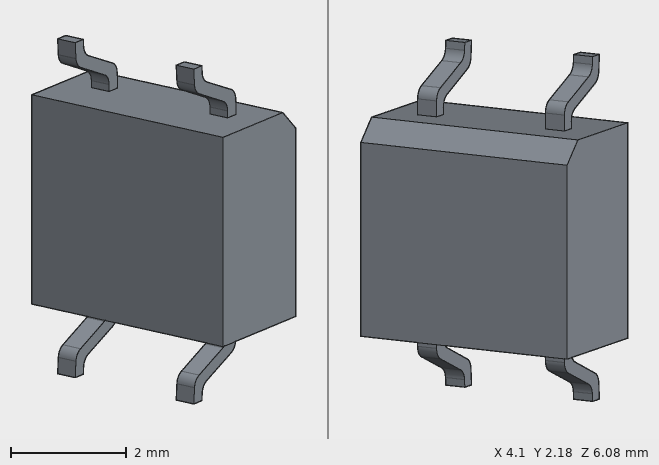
import cadquery as cq
import math

BODY_WIDTH = 4.1
BODY_DEPTH = 2.13
BODY_HEIGHT = 3.8
BEVEL = 0.38

LEAD_WIDTH = 0.38
LEAD_THICKNESS = 0.24
LEAD_PITCH = 2.54
LEAD_REACH = 1.14
LEAD_SETBACK = 0.95
FOOT_STANDOFF = 0.05
SHORT_STRAIGHT = 0.275
LONG_STRAIGHT = 0.43
FOOT_TILT = math.radians(4)
BEND_RADIUS = 0.23

FRONT_Y = -BODY_DEPTH / 2
REAR_Y = BODY_DEPTH / 2
END_Z = BODY_HEIGHT / 2


def make_body():
    block = cq.Workplane("XY").box(BODY_WIDTH, BODY_DEPTH, BODY_HEIGHT)
    return block.edges(">Y and >Z").chamfer(BEVEL)


def make_upper_lead(center_x):
    """Double-bent strip rising from the top of the body and stepping to the front."""
    root_rear = REAR_Y - LEAD_SETBACK
    root_front = root_rear - LEAD_THICKNESS
    foot_front = FRONT_Y - FOOT_STANDOFF
    foot_rear = foot_front + LEAD_THICKNESS
    tip_z = END_Z + LEAD_REACH
    profile = [
        (root_front, END_Z),
        (root_front, END_Z + SHORT_STRAIGHT),
        (foot_front + LONG_STRAIGHT * math.tan(FOOT_TILT), tip_z - LONG_STRAIGHT),
        (foot_front, tip_z),
        (foot_rear, tip_z),
        (foot_rear + SHORT_STRAIGHT * math.tan(FOOT_TILT), tip_z - SHORT_STRAIGHT),
        (root_rear, END_Z + LONG_STRAIGHT),
        (root_rear, END_Z),
    ]
    strip = (
        cq.Workplane("YZ", origin=(center_x, 0, 0))
        .polyline(profile)
        .close()
        .extrude(LEAD_WIDTH / 2, both=True)
    )
    bends = strip.edges("|X").edges(
        cq.selectors.BoxSelector(
            (center_x - LEAD_WIDTH, foot_front - LEAD_THICKNESS, END_Z + SHORT_STRAIGHT / 2),
            (center_x + LEAD_WIDTH, root_rear + LEAD_THICKNESS, tip_z - SHORT_STRAIGHT / 2),
        )
    )
    return bends.fillet(BEND_RADIUS)


result = make_body()
for lead_x in (-LEAD_PITCH / 2, LEAD_PITCH / 2):
    upper_lead = make_upper_lead(lead_x)
    lower_lead = upper_lead.mirror("XY")
    result = result.union(upper_lead).union(lower_lead)